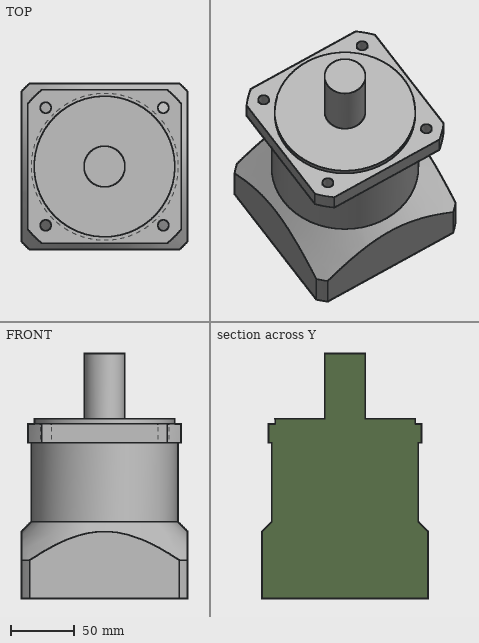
import cadquery as cq

BASE_WIDTH = 130.0
BASE_CORNER_DIAMETER = 175.0
BASE_CORNER_HEIGHT = 30.0

HOUSING_DIAMETER = 115.0
HOUSING_BOTTOM = BASE_CORNER_HEIGHT + (BASE_CORNER_DIAMETER - HOUSING_DIAMETER) / 2

FLANGE_WIDTH = 120.0
FLANGE_CORNER_DIAMETER = 155.0
FLANGE_BOTTOM = 121.7
FLANGE_THICKNESS = 15.0
FLANGE_TOP = FLANGE_BOTTOM + FLANGE_THICKNESS
BOLT_CIRCLE_DIAMETER = 130.0
BOLT_HOLE_DIAMETER = 8.5
BOLT_COUNT = 4
FIRST_BOLT_ANGLE = 45.0

PILOT_DIAMETER = 110.0
PILOT_HEIGHT = 4.0
SHAFT_DIAMETER = 32.0
TOTAL_HEIGHT = 191.7


def cylinder(diameter, bottom, top):
    """Upright cylinder on the part axis between two heights."""
    return cq.Workplane("XY").workplane(offset=bottom).circle(diameter / 2).extrude(top - bottom)


def square_block(width, bottom, top):
    """Upright square block centred on the part axis between two heights."""
    return cq.Workplane("XY").workplane(offset=bottom).rect(width, width).extrude(top - bottom)


def make_base():
    """Square base whose corners and shoulder follow a turned envelope."""
    envelope = (
        cq.Workplane("XZ")
        .moveTo(0, 0)
        .lineTo(BASE_CORNER_DIAMETER / 2, 0)
        .lineTo(BASE_CORNER_DIAMETER / 2, BASE_CORNER_HEIGHT)
        .lineTo(HOUSING_DIAMETER / 2, HOUSING_BOTTOM)
        .lineTo(0, HOUSING_BOTTOM)
        .close()
        .revolve(360, (0, 0, 0), (0, 1, 0))
    )
    return square_block(BASE_WIDTH, 0, HOUSING_BOTTOM).intersect(envelope)


def make_flange():
    """Square flange with trimmed corners and through bolt holes."""
    plate = square_block(FLANGE_WIDTH, FLANGE_BOTTOM, FLANGE_TOP)
    plate = plate.intersect(cylinder(FLANGE_CORNER_DIAMETER, FLANGE_BOTTOM, FLANGE_TOP))
    return (
        plate.faces(">Z")
        .workplane(origin=(0, 0, FLANGE_TOP))
        .polarArray(BOLT_CIRCLE_DIAMETER / 2, FIRST_BOLT_ANGLE, 360, BOLT_COUNT)
        .hole(BOLT_HOLE_DIAMETER)
    )


housing = cylinder(HOUSING_DIAMETER, HOUSING_BOTTOM, FLANGE_BOTTOM)
pilot = cylinder(PILOT_DIAMETER, FLANGE_TOP, FLANGE_TOP + PILOT_HEIGHT)
shaft = cylinder(SHAFT_DIAMETER, FLANGE_TOP + PILOT_HEIGHT, TOTAL_HEIGHT)

result = make_base().union(housing).union(make_flange()).union(pilot).union(shaft)